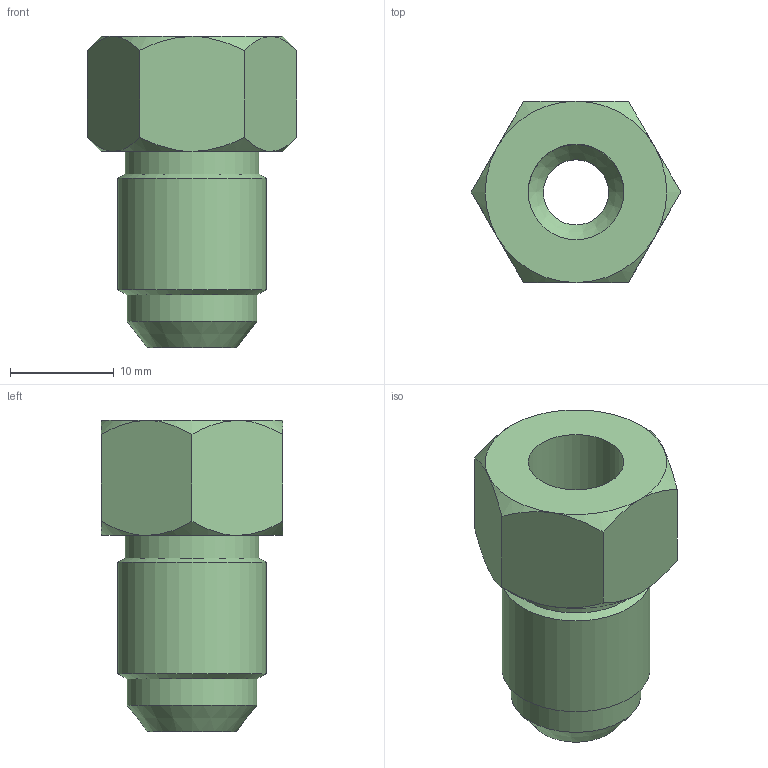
import cadquery as cq
import math

total_height = 29.97
hexagon_sides = 6
across_flats = 17.48
head_height = 11.08
half_side_angle = 180.0 / hexagon_sides
corner_diameter = across_flats / math.cos(math.radians(half_side_angle))
head_chamfer_angle = 45.0

tip_diameter = 8.63
nose_diameter = 12.5
shank_diameter = 14.3
neck_diameter = 12.86
cone_angle = 52.5
nose_height = 5.07
shank_top = 16.3
shank_chamfer_angle = 30.0

bore_diameter = 9.2
tip_hole_diameter = 6.28

head_bottom = total_height - head_height


def cone_rise(large_diameter, small_diameter, angle):
    """Height of a cone between two diameters, its side at angle to the horizontal plane."""
    return (large_diameter - small_diameter) / 2 * math.tan(math.radians(angle))


def revolve_steps(steps):
    """Solid of revolution about Z from (diameter, height) steps, listed upwards."""
    outline = [(diameter / 2, z) for diameter, z in steps]
    bottom = steps[0][1]
    top = steps[-1][1]
    profile = cq.Workplane("XZ").polyline([(0, bottom)] + outline + [(0, top)]).close()
    return profile.revolve(360, (0, 0, 0), (0, 1, 0))


nose_cone_height = cone_rise(nose_diameter, tip_diameter, cone_angle)
seat_bottom = nose_cone_height


def make_head():
    """Hexagon with corners on X, trimmed by a cone at its top and bottom."""
    hexagon = (
        cq.Workplane("XY")
        .workplane(offset=head_bottom)
        .polygon(hexagon_sides, corner_diameter)
        .extrude(head_height)
    )
    chamfer_rise = cone_rise(corner_diameter, across_flats, head_chamfer_angle)
    envelope = revolve_steps([
        (across_flats, head_bottom),
        (corner_diameter, head_bottom + chamfer_rise),
        (corner_diameter, total_height - chamfer_rise),
        (across_flats, total_height),
    ])
    return hexagon.intersect(envelope)


def make_shank():
    """Conical nose, chamfered shank and relief neck below the head."""
    lower_rise = cone_rise(shank_diameter, nose_diameter, shank_chamfer_angle)
    upper_rise = cone_rise(shank_diameter, neck_diameter, shank_chamfer_angle)
    return revolve_steps([
        (tip_diameter, 0),
        (nose_diameter, nose_cone_height),
        (nose_diameter, nose_height),
        (shank_diameter, nose_height + lower_rise),
        (shank_diameter, shank_top),
        (neck_diameter, shank_top + upper_rise),
        (neck_diameter, head_bottom),
    ])


def make_bore():
    """Wide bore from the top, narrowing through the seat to the tip hole."""
    seat_rise = cone_rise(bore_diameter, tip_hole_diameter, cone_angle)
    return revolve_steps([
        (tip_hole_diameter, 0),
        (tip_hole_diameter, seat_bottom),
        (bore_diameter, seat_bottom + seat_rise),
        (bore_diameter, total_height),
    ])


result = make_head().union(make_shank()).cut(make_bore())